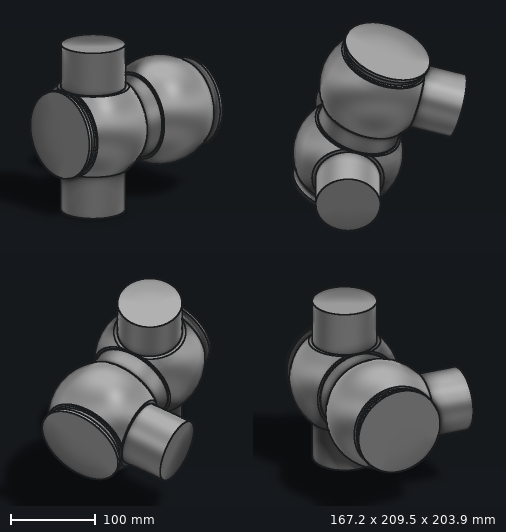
import cadquery as cq
import math

overall_length = 209.5
overall_height = 203.9
ball_radius = 65.2
ball_offset = 52.4
port_reach = overall_height / 2
port_radius = 76.3 / 2
port_flat = 49.5
end_flat_radius = 104.5 / 2
end_flat = math.sqrt(ball_radius**2 - end_flat_radius**2)

tube_radius = 98.5 / 2
neck_radius = 95.3 / 2
flange_radius = 105.0 / 2
flange_rim = 4.0
flange_slope = math.radians(20)
flange_fillet = 1.38
shoulder_length = 1.5
collar_radius = port_flat
collar_length = 1.3


def trimmed_ball(port_directions):
    """Ball about the origin, flat on both Y sides and under each port, with its port pipes."""
    ball = (
        cq.Workplane("XY")
        .moveTo(0, -end_flat)
        .lineTo(end_flat_radius, -end_flat)
        .threePointArc((ball_radius, 0), (end_flat_radius, end_flat))
        .lineTo(0, end_flat)
        .close()
        .revolve(360, (0, 0, 0), (0, 1, 0))
    )
    for direction in port_directions:
        axis = cq.Vector(*direction)
        cap = cq.Solid.makeCylinder(ball_radius, ball_radius, axis * port_flat, axis)
        pipe = cq.Solid.makeCylinder(port_radius, port_reach, cq.Vector(0, 0, 0), axis)
        ball = ball.cut(cq.Workplane(obj=cap)).union(cq.Workplane(obj=pipe))
    return ball


def middle_tube():
    """Tube from ball centre to ball centre, with a low collar where it leaves each ball."""
    tube = cq.Workplane("XZ").circle(tube_radius).extrude(ball_offset, both=True)
    collar_reach = end_flat + collar_length
    for side in (-1, 1):
        ball_centre = cq.Vector(0, side * ball_offset, 0)
        inward = cq.Vector(0, -side, 0)
        collar = cq.Solid.makeCylinder(collar_radius, collar_reach, ball_centre, inward)
        tube = tube.union(cq.Workplane(obj=collar))
    return tube


def end_flange():
    """Tapered shoulder, neck and filleted flange at the +Y end, revolved about Y."""
    end = overall_length / 2
    ball_end = ball_offset + end_flat
    rim_start = end - flange_rim
    arc_end_radius = neck_radius + flange_fillet * (1 - math.sin(flange_slope))
    arc_end = rim_start - (flange_radius - arc_end_radius) * math.tan(flange_slope)
    arc_start = arc_end - flange_fillet * math.cos(flange_slope)
    half_turn = (math.pi / 2 - flange_slope) / 2
    arc_middle = (
        neck_radius + flange_fillet * (1 - math.cos(half_turn)),
        arc_start + flange_fillet * math.sin(half_turn),
    )
    return (
        cq.Workplane("XY")
        .moveTo(0, ball_offset)
        .lineTo(collar_radius, ball_offset)
        .lineTo(collar_radius, ball_end)
        .lineTo(neck_radius, ball_end + shoulder_length)
        .lineTo(neck_radius, arc_start)
        .threePointArc(arc_middle, (arc_end_radius, arc_end))
        .lineTo(flange_radius, rim_start)
        .lineTo(flange_radius, end)
        .lineTo(0, end)
        .close()
        .revolve(360, (0, 0, 0), (0, 1, 0))
    )


side_port_ball = trimmed_ball([(-1, 0, 0)]).translate((0, ball_offset, 0))
through_port_ball = trimmed_ball([(0, 0, 1), (0, 0, -1)]).translate((0, -ball_offset, 0))
far_flange = end_flange()
near_flange = far_flange.mirror("XZ")

result = middle_tube()
for piece in (side_port_ball, through_port_ball, far_flange, near_flange):
    result = result.union(piece)